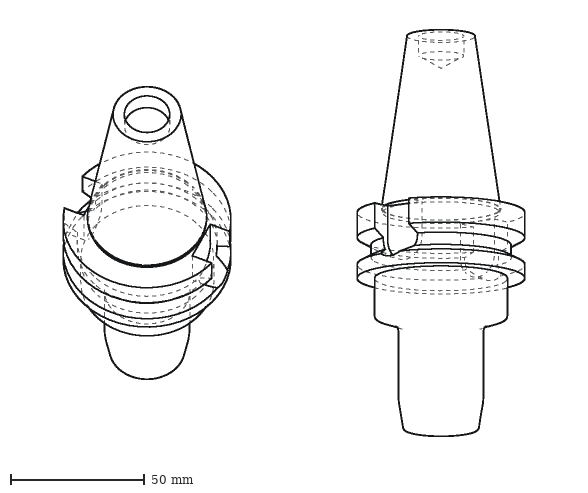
import cadquery as cq
import math

total_length = 150.4
gauge_z = 84.4
flange_top_z = 83.0

taper_top_radius = 12.8
taper_base_radius = 22.4
relief_radius = 44.0 / 2

flange_radius = 63.0 / 2
groove_radius = 26.3
groove_start = 9.6
groove_floor_start = 12.5
groove_floor_end = 17.1
groove_end = 19.9
flange_height = 25.1

body_radius = 50.0 / 2
body_bottom_z = 42.9
body_edge_fillet = 1.0
neck_radius = 32.0 / 2
neck_top_z = 39.9
neck_root_fillet = 2.9
nose_start_z = 11.6
nose_blend_radius = 19.5
nose_end_radius = 14.1
nose_end_fillet = 1.2

slot_width = 16.1
slot_depth = 21.2
slot_floor_x = taper_base_radius

bore_radius = 17.0 / 2
bore_depth = 7.5
cone_radius = 14.0 / 2
cone_depth = 8.1
drill_point_angle = 118.0


def revolve_profile(points):
    """Revolve a closed (radius, z) outline about the Z axis."""
    return cq.Workplane("XZ").polyline(points).close().revolve(360, (0, 0), (0, 1))


def fillet_rim(solid, z, radius):
    """Round the only circular edge lying at height z."""
    tolerance = 0.08
    reach = 2 * flange_radius
    rim = cq.selectors.BoxSelector(
        (-reach, -reach, z - tolerance),
        (reach, reach, z + tolerance),
        boundingbox=True,
    )
    return solid.edges(rim).fillet(radius)


def make_holder():
    flange_bottom_z = flange_top_z - flange_height
    holder = revolve_profile([
        (0, total_length),
        (taper_top_radius, total_length),
        (taper_base_radius, gauge_z),
        (relief_radius, gauge_z),
        (relief_radius, flange_top_z),
        (flange_radius, flange_top_z),
        (flange_radius, flange_top_z - groove_start),
        (groove_radius, flange_top_z - groove_floor_start),
        (groove_radius, flange_top_z - groove_floor_end),
        (flange_radius, flange_top_z - groove_end),
        (flange_radius, flange_bottom_z),
        (body_radius, flange_bottom_z),
        (body_radius, body_bottom_z),
        (neck_radius, neck_top_z),
        (neck_radius, nose_start_z),
        (nose_end_radius, 0),
        (0, 0),
    ])
    holder = fillet_rim(holder, body_bottom_z, body_edge_fillet)
    holder = fillet_rim(holder, neck_top_z, neck_root_fillet)
    holder = fillet_rim(holder, nose_start_z, nose_blend_radius)
    return fillet_rim(holder, 0, nose_end_fillet)


def make_drive_slot(side):
    """Round-bottomed slot open at the flange top and rim; side is +1 or -1."""
    half_width = slot_width / 2
    arc_center_z = flange_top_z - slot_depth + half_width
    slot_length = flange_radius
    return (
        cq.Workplane("YZ", origin=(side * slot_floor_x, 0, 0))
        .moveTo(-half_width, flange_top_z)
        .lineTo(-half_width, arc_center_z)
        .threePointArc((0, flange_top_z - slot_depth), (half_width, arc_center_z))
        .lineTo(half_width, flange_top_z)
        .close()
        .extrude(side * slot_length)
    )


def make_bore():
    """Blind bore with a shallow tapered ledge and a drill point."""
    point_height = cone_radius / math.tan(math.radians(drill_point_angle / 2))
    step_z = total_length - bore_depth
    cone_z = total_length - cone_depth
    return revolve_profile([
        (0, total_length),
        (bore_radius, total_length),
        (bore_radius, step_z),
        (cone_radius, cone_z),
        (0, cone_z - point_height),
    ])


result = make_holder().cut(make_bore())
for side in (-1, 1):
    result = result.cut(make_drive_slot(side))